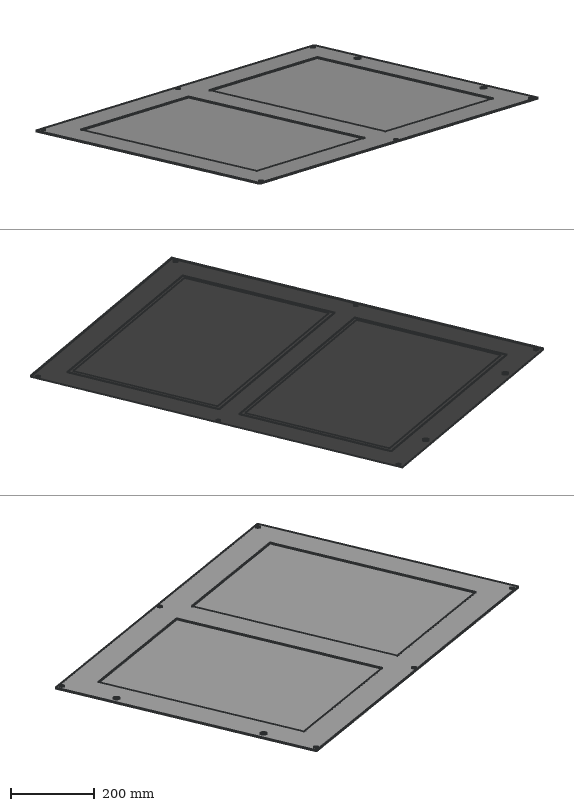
import cadquery as cq

total_thickness = 4.8
pane_thickness = 1.6
plate_thickness = total_thickness - pane_thickness

plate_width = 710.0
plate_length = 1010.0
border = 75.0

window_count = 2
window_width = plate_width - 2 * border
window_length = (plate_length - (window_count + 1) * border) / window_count
window_pitch = window_length + border
window_centres = [(i - (window_count - 1) / 2) * window_pitch for i in range(window_count)]

pane_overlap = 10.0
pane_width = window_width + 2 * pane_overlap
pane_length = window_length + 2 * pane_overlap

fixing_diameter = 10.0
fixing_side_inset = 9.0
fixing_end_inset = 15.0
fixing_rows = 3
fixing_spacing_x = plate_width - 2 * fixing_side_inset
fixing_pitch_y = (plate_length - 2 * fixing_end_inset) / (fixing_rows - 1)

hanging_diameter = 15.0
hanging_spacing = 400.0
hanging_inset = 20.0
hanging_y = plate_length / 2 - hanging_inset


def block(width, length, height, base_z, centre_y):
    """Rectangular block with its base at base_z, centred on X = 0."""
    return (
        cq.Workplane("XY", origin=(0, centre_y, base_z))
        .rect(width, length)
        .extrude(height)
    )


def cut_windows(plate):
    for centre_y in window_centres:
        opening = block(window_width, window_length, plate_thickness, pane_thickness, centre_y)
        plate = plate.cut(opening)
    return plate


def cut_fixing_holes(plate):
    top = plate.faces(">Z").workplane(origin=(0, 0, total_thickness))
    return top.rarray(fixing_spacing_x, fixing_pitch_y, 2, fixing_rows).hole(fixing_diameter)


def cut_hanging_holes(plate):
    top = plate.faces(">Z").workplane(origin=(0, 0, total_thickness))
    centres = [(side * hanging_spacing / 2, hanging_y) for side in (-1, 1)]
    return top.pushPoints(centres).hole(hanging_diameter)


def make_plate():
    plate = block(plate_width, plate_length, plate_thickness, pane_thickness, 0)
    plate = cut_windows(plate)
    plate = cut_fixing_holes(plate)
    return cut_hanging_holes(plate)


def make_pane(centre_y):
    return block(pane_width, pane_length, pane_thickness, 0, centre_y)


plate = make_plate()
panes = [make_pane(centre_y) for centre_y in window_centres]

result = cq.Compound.makeCompound([plate.solids().val(), *[pane.val() for pane in panes]])